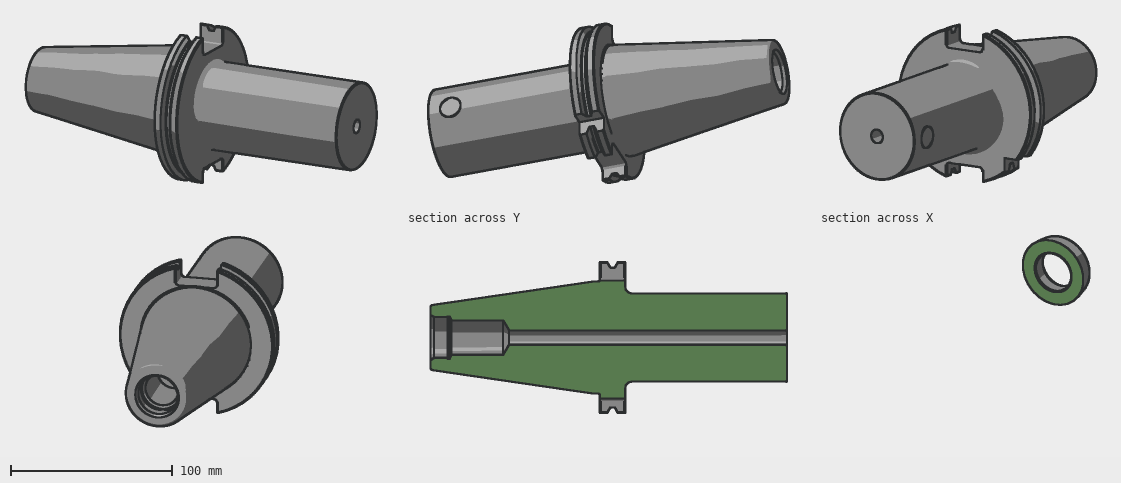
import cadquery as cq
import math

taper_length = 101.6
gauge_diameter = 69.85
taper_ratio = 7 / 24
flange_gap = 3.1
flange_width = 16.0
flange_diameter = 97.5
flange_edge = 0.6
flange_root_fillet = 0.7
nose_round = 1.7
shank_diameter = 55.0
shank_length = 100.0
shank_fillet = 4.0
shank_chamfer = 0.5

groove_offset = 11.1
groove_depth = 3.5
groove_floor_width = 2.8
groove_floor_fillet = 0.7
groove_wall_angle = 30.0

slot_width = 26.2
slot_corner_radius = 2.0
slot_edge = 0.8
upper_slot_floor = 35.3
lower_slot_floor = 37.7
notch_corner = 29.6

thread_core_diameter = 21.0
counterbore_diameter = 25.0
counterbore_depth = 10.7
entry_diameter = 27.8
entry_depth = 2.4
relief_diameter = 26.0
relief_width = 1.3
countersink_angle = 120.0
thread_depth = 45.0
drill_point_angle = 118.0
coolant_hole_diameter = 8.6

screw_diameter = 13.5
screw_length = 12.0
screw_end_distance = 14.8

flange_start = taper_length + flange_gap
flange_end = flange_start + flange_width
flange_middle = (flange_start + flange_end) / 2
total_length = flange_end + shank_length
gauge_radius = gauge_diameter / 2
nose_radius = gauge_radius - taper_length * taper_ratio / 2
flange_radius = flange_diameter / 2
shank_radius = shank_diameter / 2
screw_x = total_length - screw_end_distance


def revolve_about_x(profile):
    return profile.close().revolve(360, (0, 0, 0), (1, 0, 0))


def make_blank():
    """Taper, flange and shank turned as one piece."""
    profile = (
        cq.Workplane("XZ")
        .lineTo(0, nose_radius)
        .lineTo(taper_length, gauge_radius)
        .lineTo(flange_start - flange_root_fillet, gauge_radius)
        .radiusArc((flange_start, gauge_radius + flange_root_fillet), -flange_root_fillet)
        .lineTo(flange_start, flange_radius - flange_edge)
        .lineTo(flange_start + flange_edge, flange_radius)
        .lineTo(flange_end - flange_edge, flange_radius)
        .lineTo(flange_end, flange_radius - flange_edge)
        .lineTo(flange_end, shank_radius + shank_fillet)
        .radiusArc((flange_end + shank_fillet, shank_radius), -shank_fillet)
        .lineTo(total_length - shank_chamfer, shank_radius)
        .lineTo(total_length, shank_radius - shank_chamfer)
        .lineTo(total_length, 0)
    )
    return revolve_about_x(profile).faces("<X").edges().fillet(nose_round)


def make_groove():
    """Trapezoidal ring with rounded floor corners, removed from the flange rim."""
    centre = taper_length + groove_offset
    floor_radius = flange_radius - groove_depth
    floor_half = groove_floor_width / 2
    mouth_half = floor_half + groove_depth * math.tan(math.radians(groove_wall_angle))
    profile = (
        cq.Workplane("XZ")
        .moveTo(centre - floor_half, floor_radius)
        .lineTo(centre + floor_half, floor_radius)
        .lineTo(centre + mouth_half, flange_radius)
        .lineTo(centre - mouth_half, flange_radius)
    )
    ring = revolve_about_x(profile)
    floor_edges = cq.selectors.RadiusNthSelector(0)
    return ring.edges(floor_edges).fillet(groove_floor_fillet)


def make_slot(floor_distance):
    """Drive slot on the +Z side, with all edges of its walls broken."""
    half_width = slot_width / 2
    slot_height = flange_radius
    channel = (
        cq.Workplane("XY")
        .box(flange_width, slot_width, slot_height)
        .faces("<Z")
        .edges("|X")
        .fillet(slot_corner_radius)
        .translate((flange_middle, 0, floor_distance + slot_height / 2))
    )
    face_breaks = (
        cq.Workplane("XY", origin=(0, 0, floor_distance + slot_corner_radius))
        .moveTo(flange_start, 0)
        .lineTo(flange_start, half_width + slot_edge)
        .lineTo(flange_start + slot_edge, half_width)
        .lineTo(flange_end - slot_edge, half_width)
        .lineTo(flange_end, half_width + slot_edge)
        .lineTo(flange_end, 0)
        .mirrorX()
        .extrude(slot_height)
    )
    rim_corner_z = math.sqrt(flange_radius**2 - half_width**2)
    rim_breaks = (
        cq.Workplane("YZ", origin=(flange_start, 0, 0))
        .moveTo(0, rim_corner_z - slot_edge)
        .lineTo(half_width, rim_corner_z - slot_edge)
        .lineTo(half_width + 2 * slot_edge, rim_corner_z + slot_edge)
        .lineTo(0, rim_corner_z + slot_edge)
        .mirrorY()
        .extrude(flange_width)
    )
    return channel.union(face_breaks).union(rim_breaks)


def make_notch():
    """Square-cornered orientation notch on the +Y, -Z part of the rim."""
    size = flange_radius
    centre = notch_corner + size / 2
    return cq.Workplane("XY").box(flange_width, size, size).translate((flange_middle, centre, -centre))


def make_bore():
    """Counterbored, undercut thread hole with a drill point running into a through hole."""
    core_radius = thread_core_diameter / 2
    counterbore_radius = counterbore_diameter / 2
    relief_radius = relief_diameter / 2
    relief_end = counterbore_depth + relief_width
    countersink_length = (counterbore_radius - core_radius) / math.tan(math.radians(countersink_angle / 2))
    hole_radius = coolant_hole_diameter / 2
    point_length = (core_radius - hole_radius) / math.tan(math.radians(drill_point_angle / 2))
    profile = (
        cq.Workplane("XZ")
        .lineTo(0, entry_diameter / 2)
        .lineTo(entry_depth, counterbore_radius)
        .lineTo(counterbore_depth, counterbore_radius)
        .lineTo(counterbore_depth, relief_radius)
        .lineTo(relief_end, relief_radius)
        .lineTo(relief_end, counterbore_radius)
        .lineTo(relief_end + countersink_length, core_radius)
        .lineTo(thread_depth, core_radius)
        .lineTo(thread_depth + point_length, hole_radius)
        .lineTo(total_length, hole_radius)
        .lineTo(total_length, 0)
    )
    return revolve_about_x(profile)


def make_screw():
    """Cylinder along +Y whose flat head touches the crown of the shank."""
    return (
        cq.Workplane("XZ", origin=(screw_x, shank_radius, 0))
        .circle(screw_diameter / 2)
        .extrude(screw_length)
    )


holder = (
    make_blank()
    .cut(make_groove())
    .cut(make_slot(upper_slot_floor))
    .cut(make_slot(lower_slot_floor).rotate((0, 0, 0), (1, 0, 0), 180))
    .cut(make_notch())
    .cut(make_bore())
    .cut(make_screw())
)
screw = make_screw()

result = cq.Compound.makeCompound([holder.val(), screw.val()])